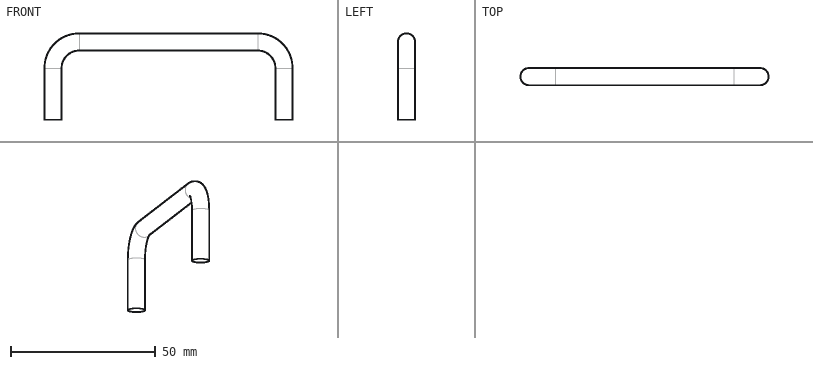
import cadquery as cq

length = 86.0
height = 30.0
rod_diameter = 6.0
bend_radius = 9.0

leg_x = (length - rod_diameter) / 2
bar_z = height - rod_diameter / 2
bar_end_x = leg_x - bend_radius
leg_top_z = bar_z - bend_radius

centre_line = (
    cq.Workplane("XZ")
    .moveTo(-leg_x, 0)
    .lineTo(-leg_x, leg_top_z)
    .tangentArcPoint((-bar_end_x, bar_z), relative=False)
    .lineTo(bar_end_x, bar_z)
    .tangentArcPoint((leg_x, leg_top_z), relative=False)
    .lineTo(leg_x, 0)
)

result = (
    cq.Workplane("XY")
    .center(-leg_x, 0)
    .circle(rod_diameter / 2)
    .sweep(centre_line)
)